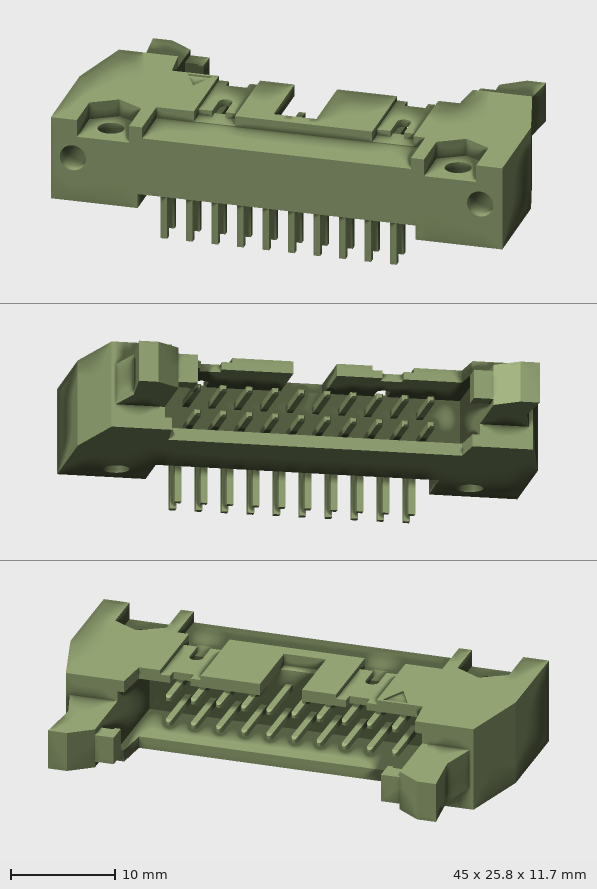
import cadquery as cq
import math


WIDTH = 45.0
HEIGHT = 8.5
SIDE_LENGTH = 10.15
FRONT_Y = 13.85
TOWER_Y = 17.3
TOWER_OUTER_X = 20.6
TOWER_INNER_X = 14.7
TOWER_ROOT_X = 14.35
WALL = 1.2
CAVITY_BACK_Y = 7.5
CAVITY_HALF_WIDTH = 15.4

TOP_STEP_WIDTH = 26.8
TOP_STEP_DEPTH = 1.15
BOTTOM_STEP_WIDTH = 27.7
BOTTOM_STEP_DEPTH = 1.47
STEP_LENGTH = 5.05

PITCH = 2.54
COLUMNS = 10
PIN_SIZE = 0.64
PIN_TIP = 0.35
PIN_TIP_SIZE = 0.3
TAIL_LENGTH = 3.2
FIRST_TAIL_Y = 1.05
PIN_ROOT = 1.0

HOLE_DIAMETER = 2.6
MOUNT_X = 17.3
MOUNT_Y = 2.85
NUT_WIDTH = 5.2
NUT_DEPTH = 1.75
REAR_HOLE_X = 20.3
REAR_HOLE_Z = 4.5
REAR_HOLE_DEPTH = 6.0

GROOVE_CENTERS = (-3 * PITCH, 4 * PITCH)
GROOVE_WIDTH = 4.1
GROOVE_DEPTH = 0.45
GROOVE_REAR_DEPTH = 1.05
GROOVE_STEP_Y = 6.65
SLOT_WIDTH = 1.35
SLOT_END_Y = 9.65
NOTCH_WIDTH = 2.08
NOTCH_LENGTH = 1.0
KEY_WIDTH = 4.25
KEY_BACK_Y = 6.5

MARK_SIZE = 2.54
MARK_GAP = 0.3
MARK_DEPTH = 0.2

LEVER_THICKNESS = 4.0
LEVER_INNER_X = CAVITY_HALF_WIDTH
LEVER_END_Y = 25.75
LEVER_END_OUTER_X = 19.6
LEVER_END_INNER_X = 17.7
LEVER_WAIST_X = 19.15
LEVER_WAIST_Y = 20.95
LEVER_FOOT_X = 20.2
HOOK_TIP_X = 13.5
HOOK_LIP_X = 14.1
HOOK_END_Y = 24.1
HOOK_BACK_Y = 22.25
HOOK_LIP_Y = 21.95
HOOK_THICKNESS = 2.8


def box(x_min, x_max, y_min, y_max, z_min, z_max):
    size = (x_max - x_min, y_max - y_min, z_max - z_min)
    return cq.Workplane("XY").box(*size, centered=False).translate((x_min, y_min, z_min))


def centered_box(x, width, y_min, y_max, z_min, z_max):
    return box(x - width / 2, x + width / 2, y_min, y_max, z_min, z_max)


def prism(points, z_min, z_max):
    return cq.Workplane("XY").workplane(offset=z_min).polyline(points).close().extrude(z_max - z_min)


def both_sides(shape):
    return shape.union(shape.mirror("YZ"))


def housing():
    right_half = [
        (WIDTH / 2, 0),
        (WIDTH / 2, SIDE_LENGTH),
        (TOWER_OUTER_X, TOWER_Y),
        (TOWER_INNER_X, TOWER_Y),
        (TOWER_ROOT_X, FRONT_Y),
    ]
    left_half = [(-x, y) for x, y in reversed(right_half)]
    body = prism(right_half + left_half, 0, HEIGHT)
    cavity = centered_box(0, 2 * CAVITY_HALF_WIDTH, CAVITY_BACK_Y, TOWER_Y, WALL, HEIGHT - WALL)
    top_step = centered_box(0, TOP_STEP_WIDTH, 0, STEP_LENGTH, HEIGHT - TOP_STEP_DEPTH, HEIGHT)
    bottom_step = centered_box(0, BOTTOM_STEP_WIDTH, 0, STEP_LENGTH, 0, BOTTOM_STEP_DEPTH)
    return body.cut(cavity).cut(top_step).cut(bottom_step)


def mounting_cuts():
    corner_radius = NUT_WIDTH / 2 / math.cos(math.radians(30))
    pocket_outline = [
        (MOUNT_X - NUT_WIDTH / 2, 0),
        (MOUNT_X + NUT_WIDTH / 2, 0),
        (MOUNT_X + NUT_WIDTH / 2, MOUNT_Y + corner_radius / 2),
        (MOUNT_X, MOUNT_Y + corner_radius),
        (MOUNT_X - NUT_WIDTH / 2, MOUNT_Y + corner_radius / 2),
    ]
    pocket = prism(pocket_outline, HEIGHT - NUT_DEPTH, HEIGHT)
    radius = HOLE_DIAMETER / 2
    through_hole = cq.Workplane("XY").center(MOUNT_X, MOUNT_Y).circle(radius).extrude(HEIGHT)
    rear_hole = cq.Workplane("XZ").center(REAR_HOLE_X, REAR_HOLE_Z).circle(radius).extrude(-REAR_HOLE_DEPTH)
    return both_sides(pocket.union(through_hole).union(rear_hole))


def groove_cut(x):
    """Shallow groove with a deeper rear end, a round-ended slot and a front notch."""
    wall_bottom = HEIGHT - WALL
    rear_floor = HEIGHT - GROOVE_REAR_DEPTH
    slot_center_y = SLOT_END_Y - SLOT_WIDTH / 2
    groove = centered_box(x, GROOVE_WIDTH, STEP_LENGTH, FRONT_Y, HEIGHT - GROOVE_DEPTH, HEIGHT)
    rear_end = centered_box(x, GROOVE_WIDTH, STEP_LENGTH, GROOVE_STEP_Y, rear_floor, HEIGHT)
    slot_entry = centered_box(x, SLOT_WIDTH, GROOVE_STEP_Y, CAVITY_BACK_Y, rear_floor, HEIGHT)
    slot = centered_box(x, SLOT_WIDTH, CAVITY_BACK_Y, slot_center_y, wall_bottom, HEIGHT)
    slot_end = (
        cq.Workplane("XY")
        .workplane(offset=wall_bottom)
        .center(x, slot_center_y)
        .circle(SLOT_WIDTH / 2)
        .extrude(WALL)
    )
    notch = centered_box(x, NOTCH_WIDTH, FRONT_Y - NOTCH_LENGTH, FRONT_Y, wall_bottom, HEIGHT)
    return groove.union(rear_end).union(slot_entry).union(slot).union(slot_end).union(notch)


def key_slot_cut():
    return centered_box(0, KEY_WIDTH, KEY_BACK_Y, FRONT_Y, HEIGHT - WALL, HEIGHT)


def pin_one_mark_cut():
    x = -(COLUMNS - 1) / 2 * PITCH
    base_y = FRONT_Y - MARK_GAP
    outline = [(x - MARK_SIZE / 2, base_y), (x + MARK_SIZE / 2, base_y), (x, base_y - MARK_SIZE)]
    return prism(outline, HEIGHT - MARK_DEPTH, HEIGHT)


def lever():
    z_min = (HEIGHT - LEVER_THICKNESS) / 2
    arm_outline = [
        (LEVER_INNER_X, TOWER_Y),
        (LEVER_FOOT_X, TOWER_Y),
        (LEVER_WAIST_X, LEVER_WAIST_Y),
        (LEVER_END_OUTER_X, LEVER_END_Y),
        (LEVER_END_INNER_X, LEVER_END_Y),
        (LEVER_INNER_X, HOOK_END_Y),
    ]
    arm = prism(arm_outline, z_min, z_min + LEVER_THICKNESS)
    hook_z = (HEIGHT - HOOK_THICKNESS) / 2
    hook_outline = [
        (LEVER_INNER_X, HOOK_END_Y),
        (HOOK_TIP_X, HOOK_END_Y),
        (HOOK_TIP_X, HOOK_LIP_Y),
        (HOOK_LIP_X, HOOK_LIP_Y),
        (HOOK_LIP_X, HOOK_BACK_Y),
        (LEVER_INNER_X, HOOK_BACK_Y),
    ]
    return arm.union(prism(hook_outline, hook_z, hook_z + HOOK_THICKNESS))


def contact_pin(x, z):
    """Pin pointing along +Y inside the cavity, with a tapered tip."""
    shoulder_y = FRONT_Y - PIN_TIP
    root_y = CAVITY_BACK_Y - PIN_ROOT
    shank = centered_box(x, PIN_SIZE, root_y, shoulder_y, z - PIN_SIZE / 2, z + PIN_SIZE / 2)
    tip = (
        cq.Workplane("XZ", origin=(x, shoulder_y, z))
        .rect(PIN_SIZE, PIN_SIZE)
        .workplane(offset=-PIN_TIP)
        .rect(PIN_TIP_SIZE, PIN_TIP_SIZE)
        .loft()
    )
    return shank.union(tip)


def solder_tail(x, y):
    top_z = BOTTOM_STEP_DEPTH + PIN_ROOT
    return centered_box(x, PIN_SIZE, y - PIN_SIZE / 2, y + PIN_SIZE / 2, -TAIL_LENGTH, top_z)


result = housing().cut(mounting_cuts()).cut(key_slot_cut()).cut(pin_one_mark_cut())
for groove_x in GROOVE_CENTERS:
    result = result.cut(groove_cut(groove_x))
result = result.union(both_sides(lever()))
for column in range(COLUMNS):
    pin_x = (column - (COLUMNS - 1) / 2) * PITCH
    for row in range(2):
        pin_z = HEIGHT / 2 + (row - 0.5) * PITCH
        result = result.union(contact_pin(pin_x, pin_z))
        result = result.union(solder_tail(pin_x, FIRST_TAIL_Y + row * PITCH))